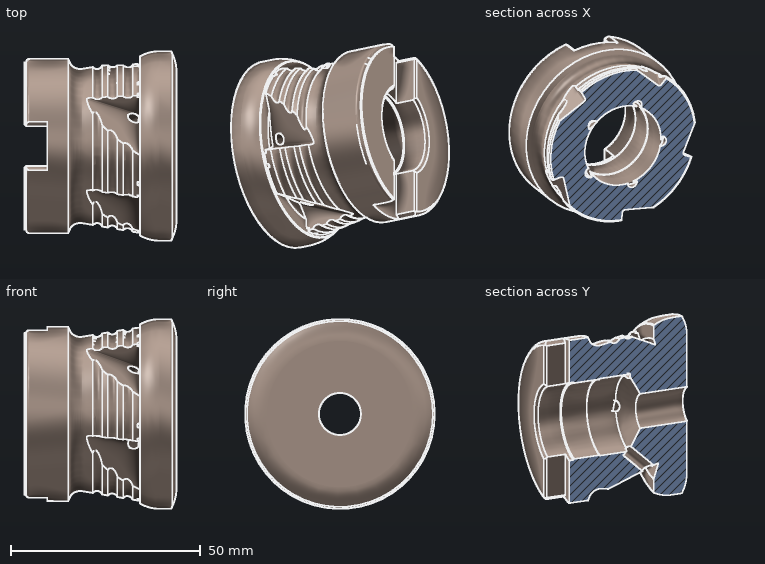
import cadquery as cq
import math

length = 40.05
flange_end = 11.5
shoulder_end = 12.15
waist_end = 15.2
cap_start = 30.35

flange_radius = 23.0
rim_radius = 22.05
rim_length = 0.45
shoulder_radius = 21.6
waist_radius = 20.35
neck_angle = 9.5
cap_radius = 25.0
cap_lip_radius = 23.5
lip_round = 0.2
cap_crown_start = 35.55
cap_crown_end = 38.3
cap_corner = (38.85, 24.45)
cap_dome_middle = (39.65, 22.5)
cap_face_radius = 19.25

groove_count = 3
groove_pitch = 4.0
first_groove = 19.1
groove_radius = 1.5
groove_lift = 0.8

entry_radius = 11.95
bore_radius = 11.15
collar_radius = 10.9
collar_start = 7.15
collar_end = 14.75
inner_bore_radius = 11.05
cone_start = 23.1
cone_half_angle = 59.0
through_radius = 5.5

slot_half_width = 5.2
slot_depth = 6.0
slot_face_chamfer = 0.55
slot_rim_half_width = 6.4
slot_bevel_height = 21.2

flute_count = 5
flute_angle = 118.8
flute_tip = (16.15, 20.5, 1.8)
flute_slope = 19.7
flute_skew = 5.0
flute_root_round = 0.6
flute_lead = 1.5
flute_length = 25.0
flute_height = 15.0
flute_width = 30.0
pocket_rim_radius = 19.75
pocket_end = 32.0
pocket_end_radius = 14.75

hole_radius = 1.5
hole_station = 28.9
hole_offset = 4.8
hole_tilt = 47.0
hole_skew = 5.0
hole_depth = 8.5
hole_lead = 0.5

notch_radius = 0.55
notch_station = 30.25
notch_depth = 0.75
notch_angles = (-3.0, 7.0)


def neck_radius(x):
    return waist_radius + (x - waist_end) * math.tan(math.radians(neck_angle))


def revolve(sketch):
    return sketch.close().revolve(360, (0, 0, 0), (1, 0, 0))


def outer_body():
    flange_round = flange_radius - rim_radius
    corner = flange_round * (1 - math.sqrt(0.5))
    slope = math.radians(neck_angle)
    profile = (
        cq.Workplane("XY")
        .lineTo(0, rim_radius)
        .lineTo(rim_length, rim_radius)
        .threePointArc(
            (rim_length + corner, flange_radius - corner),
            (rim_length + flange_round, flange_radius),
        )
        .lineTo(flange_end, flange_radius)
        .lineTo(shoulder_end, shoulder_radius)
    )
    run = waist_end - shoulder_end
    rise = shoulder_radius - waist_radius
    waist_round = (run**2 + rise**2) / (2 * (run * math.sin(slope) + rise * math.cos(slope)))
    centre_x = waist_end - waist_round * math.sin(slope)
    centre_r = waist_radius + waist_round * math.cos(slope)
    middle_x = (shoulder_end + waist_end) / 2
    middle_r = centre_r - math.sqrt(waist_round**2 - (middle_x - centre_x) ** 2)
    lip_x = cap_start + lip_round
    lip_r = cap_lip_radius + lip_round
    crown_run = cap_crown_start - lip_x
    crown_rise = cap_radius - lip_r
    crown_arc = (crown_run**2 + crown_rise**2) / (2 * crown_rise)
    crown_middle_r = cap_radius - crown_arc + math.sqrt(crown_arc**2 - (crown_run / 2) ** 2)
    profile = (
        profile.threePointArc((middle_x, middle_r), (waist_end, waist_radius))
        .lineTo(cap_start, neck_radius(cap_start))
        .lineTo(cap_start, cap_lip_radius)
        .lineTo(lip_x, lip_r)
        .threePointArc((lip_x + crown_run / 2, crown_middle_r), (cap_crown_start, cap_radius))
        .lineTo(cap_crown_end, cap_radius)
        .tangentArcPoint(cap_corner, relative=False)
        .threePointArc(cap_dome_middle, (length, cap_face_radius))
        .lineTo(length, 0)
    )
    return revolve(profile)


def groove(x):
    centre_radius = neck_radius(x) + groove_lift
    centre = cq.Vector(x, 0, 0)
    axis = cq.Vector(1, 0, 0)
    return cq.Workplane(cq.Solid.makeTorus(centre_radius, groove_radius, centre, axis))


def bore():
    cone_length = (inner_bore_radius - through_radius) / math.tan(math.radians(cone_half_angle))
    return revolve(
        cq.Workplane("XY")
        .lineTo(0, entry_radius)
        .lineTo(entry_radius - bore_radius, bore_radius)
        .lineTo(collar_start, bore_radius)
        .lineTo(collar_start + bore_radius - collar_radius, collar_radius)
        .lineTo(collar_end, collar_radius)
        .lineTo(collar_end, inner_bore_radius)
        .lineTo(cone_start, inner_bore_radius)
        .lineTo(cone_start + cone_length, through_radius)
        .lineTo(length, through_radius)
        .lineTo(length, 0)
    )


def slot():
    flared = slot_half_width + slot_face_chamfer
    opening = (
        cq.Workplane("XY")
        .polyline(
            [
                (0, -flared),
                (slot_face_chamfer, -slot_half_width),
                (slot_depth, -slot_half_width),
                (slot_depth, slot_half_width),
                (slot_face_chamfer, slot_half_width),
                (0, flared),
            ]
        )
        .close()
        .extrude(flange_radius, both=True)
    )
    rim_height = math.sqrt(flange_radius**2 - slot_rim_half_width**2)
    flare = (slot_rim_half_width - slot_half_width) / (rim_height - slot_bevel_height)
    outer_half_width = slot_half_width + flare * (flange_radius - slot_bevel_height)
    for side in (1, -1):
        bevel = (
            cq.Workplane("YZ")
            .polyline(
                [
                    (-slot_half_width, side * slot_bevel_height),
                    (slot_half_width, side * slot_bevel_height),
                    (outer_half_width, side * flange_radius),
                    (-outer_half_width, side * flange_radius),
                ]
            )
            .close()
            .extrude(slot_depth)
        )
        opening = opening.union(bevel)
    return opening


def space_before_cap():
    return revolve(
        cq.Workplane("XY")
        .lineTo(0, 2 * cap_radius)
        .lineTo(cap_start, 2 * cap_radius)
        .lineTo(cap_start, pocket_rim_radius)
        .lineTo(pocket_end, pocket_end_radius)
        .lineTo(pocket_end, 0)
    )


def flute():
    notch = (
        cq.Workplane("XY")
        .box(flute_length, flute_height, flute_width, centered=False)
        .edges("<Y and <Z")
        .fillet(flute_root_round)
        .translate((-flute_lead, 0, 0))
        .rotate((0, 0, 0), (0, 0, 1), -flute_slope)
        .rotate((0, 0, 0), (0, 1, 0), -flute_skew)
        .translate(flute_tip)
    )
    for angle in notch_angles:
        relief = (
            cq.Workplane("XZ", origin=(notch_station, neck_radius(cap_start) - notch_depth, 0))
            .circle(notch_radius)
            .extrude(-2 * notch_depth)
            .rotate((0, 0, 0), (1, 0, 0), angle)
        )
        notch = notch.union(relief)
    return notch.intersect(space_before_cap())


def hole():
    tilt = math.radians(hole_tilt)
    floor = flute_tip[1] - (hole_station - flute_tip[0]) * math.tan(math.radians(flute_slope))
    inward = cq.Vector(-math.sin(tilt), -math.cos(tilt), -math.sin(math.radians(hole_skew)))
    start = cq.Vector(hole_station, floor, hole_offset) - inward * hole_lead
    return cq.Workplane(cq.Solid.makeCylinder(hole_radius, hole_depth + hole_lead, start, inward))


result = outer_body().cut(bore()).cut(slot())
for i in range(groove_count):
    result = result.cut(groove(first_groove + i * groove_pitch))

flute_cut = flute().union(hole())
for i in range(flute_count):
    angle = flute_angle + i * 360 / flute_count
    result = result.cut(flute_cut.rotate((0, 0, 0), (1, 0, 0), angle))